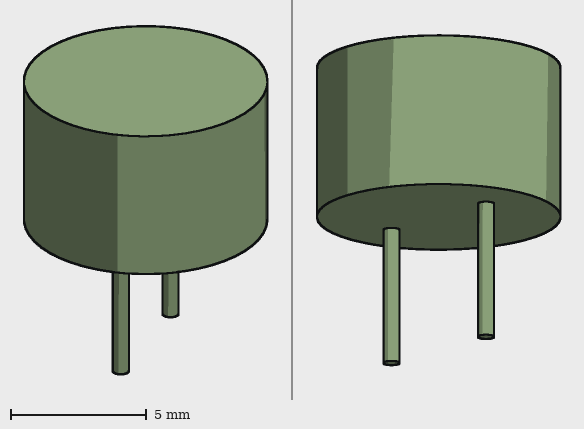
import cadquery as cq

TOTAL_HEIGHT = 10.8
CAN_DIAMETER = 9.0
CAN_HEIGHT = 5.7

LEAD_DIAMETER = 0.6
LEAD_PITCH = 5.0
LEAD_LENGTH = TOTAL_HEIGHT - CAN_HEIGHT


def make_can():
    """Plain cylindrical can standing on the Z = 0 plane."""
    return cq.Workplane("XY").circle(CAN_DIAMETER / 2).extrude(CAN_HEIGHT)


def make_lead(y):
    """Straight lead hanging from the underside of the can."""
    return cq.Workplane("XY").center(0, y).circle(LEAD_DIAMETER / 2).extrude(-LEAD_LENGTH)


can = make_can()
leads = [make_lead(side * LEAD_PITCH / 2) for side in (-1, 1)]

result = cq.Compound.makeCompound([can.val(), *[lead.val() for lead in leads]])